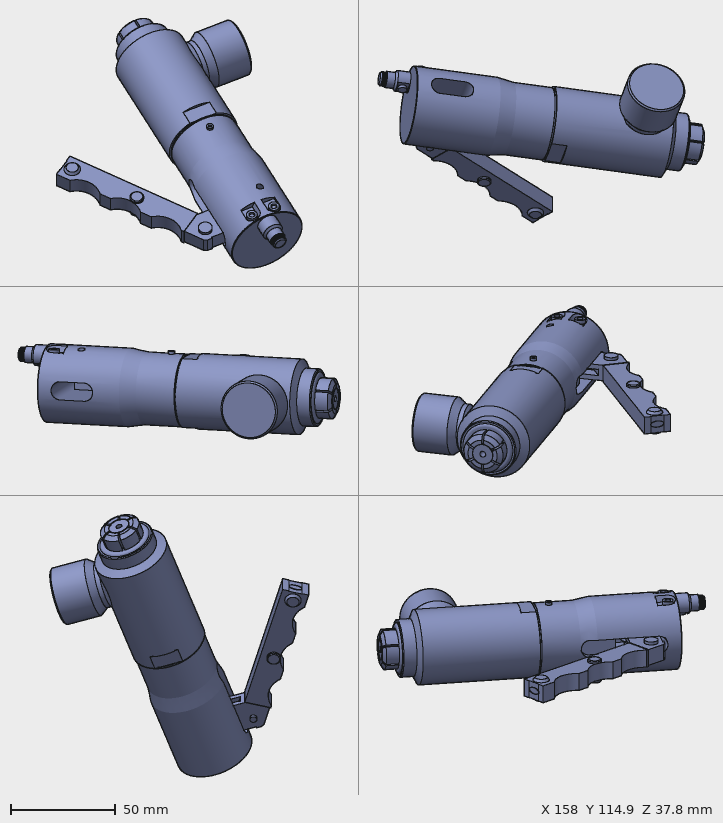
import cadquery as cq
import math


collet_radius = 9.8
collet_face_radius = 7.3
collet_bevel = 1.5
collet_core_radius = 5.0
collet_slot_width = 1.0
collet_slot_count = 6
collet_bore_diameter = 2.8
collet_bore_depth = 7.9
collet_core_recess = 0.3
collar_start = 7.7
collar_radius = 12.5
collar_face_radius = 10.7
collar_round = 1.7
flange_start = 8.7
flange_radius = 13.9
flange_chamfer = 0.5

barrel_chamfer_start = 15.5
barrel_start = 17.7
barrel_end = 74.9
barrel_radius = 18.2
neck_radius = 17.2
grip_start = 75.7
grip_end = 94.6
grip_radius = 17.5
sleeve_start = 102.7
sleeve_end = 143.6
sleeve_radius = 18.88
sleeve_chamfer = 0.3

flat_start = 67.5
flat_height = 16.7

port_x = 31.3
port_radius = 14.0
port_end = 41.0
port_chamfer = 0.8
port_cone_start = 23.2
port_neck_start = 19.5
port_neck_radius = 11.2
port_neck_end = 17.0
port_root_radius = 9.25
port_root_end = 15.6

set_screw_x = 82.2
set_screw_diameter = 3.2
set_screw_bore_diameter = 1.45
set_screw_top = 18.8
set_screw_bore_depth = 1.3
sleeve_hole_x = 125.6
sleeve_hole_y = 5.0
sleeve_hole_diameter = 3.3
sleeve_hole_depth = 4.7

pocket_start = 133.5
pocket_floor = 15.8
pocket_floor_width = 5.8
pocket_taper = 20.0
pocket_cut_height = 4.0
screw_x = 139.0
screw_y = 5.8
screw_head_diameter = 5.2
screw_head_top = 17.7
screw_socket_diameter = 2.8
screw_socket_depth = 1.3

fitting_z = 13.3
fitting_radius = 5.0
fitting_chamfer_start = 149.8
fitting_step = 150.9
fitting_neck_radius = 4.0
fitting_neck_end = 154.8
fitting_tip_radius = 3.5
fitting_tip_chamfer = 0.8
fitting_tip_end = 158.0
tip_groove_count = 3
tip_groove_start = 155.2
tip_groove_pitch = 0.8
tip_groove_width = 0.3
tip_groove_radius = 3.0
fitting_flat_start = 143.8
fitting_flat_end = 149.5
fitting_flat_z = 9.8
plug_x = 146.6
plug_diameter = 4.3

slot_width = 8.8
slot_end = 136.7
front_recess_start = 94.8
front_recess_y = -13.9
pocket_wall_x = 112.2
through_slot_start = 116.0

pivot_x = 127.4
pivot_y = -25.0
lever_angle = 33.6
arm_start = 8.0
arm_end = 78.5
arm_width = 13.0
arm_thickness = 8.7
finger_count = 3
finger_pitch = 22.5
finger_chord = 16.6
finger_depth = 3.5
finger_start = arm_start + 1.5
button_top = 5.7
middle_button_position = 37.8
middle_button_diameter = 6.6
middle_button_chamfer = 0.5
end_button_position = 73.5
end_button_base_diameter = 7.9
end_button_top_diameter = 5.8
end_recess_length = 6.5
end_recess_height = 3.2
end_recess_depth = 0.5
end_channel_depth = 0.24

tab_thickness = 8.0
tab_inset = 0.5
tab_left = 117.4
tab_right = 133.0
tab_top = -7.9
heel_right = 133.7
heel_top = -24.3
heel_chamfer = 1.0
groove_width = 3.2
groove_bottom_y = -21.8
groove_depth = 6.3

pin_head_diameter = 6.6
pin_diameter = 3.3
pin_top = 5.5
pin_bottom = -5.5


def upright_cylinder(x, y, bottom, top, diameter):
    """Cylinder along Z between two heights."""
    base = cq.Workplane("XY", origin=(x, y, bottom))
    return base.circle(diameter / 2).extrude(top - bottom)


def block(x_range, y_range, z_range):
    """Box between the given limits."""
    size = [high - low for low, high in (x_range, y_range, z_range)]
    corner = (x_range[0], y_range[0], z_range[0])
    return cq.Workplane("XY").box(*size, centered=False).translate(corner)


def tool_profile():
    """Turned shape of the collet, flange, barrel, grip and sleeve."""
    profile = (
        cq.Workplane("XY")
        .moveTo(0, 0)
        .lineTo(0, collet_face_radius)
        .lineTo(collet_bevel, collet_radius)
        .lineTo(collar_start, collet_radius)
        .lineTo(collar_start, collar_face_radius)
        .radiusArc((flange_start, collar_radius), collar_round)
        .lineTo(flange_start, flange_radius - flange_chamfer)
        .lineTo(flange_start + flange_chamfer, flange_radius)
        .lineTo(barrel_chamfer_start, flange_radius)
        .lineTo(barrel_start, barrel_radius)
        .lineTo(barrel_end, barrel_radius)
        .lineTo(barrel_end, neck_radius)
        .lineTo(grip_start, neck_radius)
        .lineTo(grip_start, grip_radius)
        .lineTo(grip_end, grip_radius)
        .lineTo(sleeve_start, sleeve_radius)
        .lineTo(sleeve_end - sleeve_chamfer, sleeve_radius)
        .lineTo(sleeve_end, sleeve_radius - sleeve_chamfer)
        .lineTo(sleeve_end, 0)
        .close()
    )
    return profile.revolve(360, (0, 0, 0), (1, 0, 0))


def collet_cuts():
    """Radial slots around the collet, its recessed core face and its centre bore."""
    bore = cq.Workplane("YZ").circle(collet_bore_diameter / 2).extrude(collet_bore_depth)
    cuts = cq.Workplane("YZ").circle(collet_core_radius).extrude(collet_core_recess).union(bore)
    slot = block(
        (0, collar_start),
        (-collet_slot_width / 2, collet_slot_width / 2),
        (collet_core_radius, collet_radius),
    )
    for index in range(collet_slot_count):
        cuts = cuts.union(slot.rotate((0, 0, 0), (1, 0, 0), index * 360 / collet_slot_count))
    return cuts


def wrench_flats():
    """Material outside the two flats."""
    side = (-barrel_radius, barrel_radius)
    upper = block((flat_start, barrel_end), side, (flat_height, barrel_radius))
    return upper.union(upper.mirror("XY"))


def side_port():
    """Turned port that stands on the barrel."""
    profile = (
        cq.Workplane("XY", origin=(port_x, 0, 0))
        .moveTo(0, 0)
        .lineTo(port_root_radius, 0)
        .lineTo(port_root_radius, port_root_end)
        .lineTo(port_neck_radius, port_neck_end)
        .lineTo(port_neck_radius, port_neck_start)
        .lineTo(port_radius, port_cone_start)
        .lineTo(port_radius, port_end - port_chamfer)
        .lineTo(port_radius - port_chamfer, port_end)
        .lineTo(0, port_end)
        .close()
    )
    return profile.revolve(360, (0, 0, 0), (0, 1, 0))


def socketed_stud(x, y, bottom, top, diameter, socket_diameter, socket_depth):
    """Upright screw head with a round socket in its top."""
    stud = upright_cylinder(x, y, bottom, top, diameter)
    return stud.cut(upright_cylinder(x, y, top - socket_depth, top, socket_diameter))


def screw_pocket(y):
    """Tapered pocket, square in front and round behind."""
    length = 2 * (screw_x - pocket_start) + pocket_floor_width
    pocket = (
        cq.Workplane("XY", origin=(pocket_start, y, pocket_floor))
        .slot2D(length, pocket_floor_width)
        .extrude(pocket_cut_height, taper=-pocket_taper)
    )
    keep = block(
        (pocket_start, sleeve_end),
        (y - pocket_floor_width, y + pocket_floor_width),
        (pocket_floor, pocket_floor + pocket_cut_height),
    )
    return pocket.intersect(keep)


def air_fitting():
    """Stepped fitting with a ringed tip, and a flat and a plug underneath."""
    profile = (
        cq.Workplane("XY", origin=(0, 0, fitting_z))
        .moveTo(sleeve_end, 0)
        .lineTo(sleeve_end, fitting_radius)
        .lineTo(fitting_chamfer_start, fitting_radius)
        .lineTo(fitting_step, fitting_neck_radius)
        .lineTo(fitting_neck_end, fitting_neck_radius)
        .lineTo(fitting_neck_end, fitting_tip_radius)
        .lineTo(fitting_tip_end - fitting_tip_chamfer, fitting_tip_radius)
        .lineTo(fitting_tip_end, fitting_tip_radius - fitting_tip_chamfer)
        .lineTo(fitting_tip_end, 0)
        .close()
    )
    fitting = profile.revolve(360, (0, 0, 0), (1, 0, 0))
    fitting_bottom = fitting_z - fitting_radius
    below_flat = block(
        (fitting_flat_start, fitting_flat_end),
        (-fitting_radius, fitting_radius),
        (fitting_bottom, fitting_flat_z),
    )
    for index in range(tip_groove_count):
        groove_x = tip_groove_start + index * tip_groove_pitch
        groove = (
            cq.Workplane("YZ", origin=(groove_x, 0, fitting_z))
            .circle(fitting_radius)
            .circle(tip_groove_radius)
            .extrude(tip_groove_width)
        )
        fitting = fitting.cut(groove)
    plug = upright_cylinder(plug_x, 0, fitting_bottom, fitting_z, plug_diameter)
    return fitting.cut(below_flat).union(plug)


def round_slot(x_start, y_start, y_end):
    """Slot cutter along Y, round at both ends, that ends at the common slot end."""
    length = slot_end - x_start
    return (
        cq.Workplane("XZ", origin=(x_start + length / 2, y_end, 0))
        .slot2D(length, slot_width)
        .extrude(y_end - y_start)
    )


def lever_slot():
    """Shallow front recess, deeper pocket and through slot for the lever tab."""
    recess = round_slot(front_recess_start, -sleeve_radius, front_recess_y)
    through = round_slot(through_slot_start, -sleeve_radius, sleeve_radius)
    pocket = block(
        (pocket_wall_x, slot_end - slot_width / 2),
        (-sleeve_radius, 0),
        (-slot_width / 2, slot_width / 2),
    )
    return recess.union(through).union(pocket)


def make_housing():
    housing = tool_profile().cut(collet_cuts()).cut(wrench_flats())
    housing = housing.union(side_port()).union(air_fitting())
    housing = housing.union(
        socketed_stud(
            set_screw_x,
            0,
            neck_radius,
            set_screw_top,
            set_screw_diameter,
            set_screw_bore_diameter,
            set_screw_bore_depth,
        )
    )
    hole_bottom = sleeve_radius - sleeve_hole_depth
    housing = housing.cut(
        upright_cylinder(sleeve_hole_x, sleeve_hole_y, hole_bottom, sleeve_radius, sleeve_hole_diameter)
    )
    for y in (-screw_y, screw_y):
        screw = socketed_stud(
            screw_x,
            y,
            pocket_floor,
            screw_head_top,
            screw_head_diameter,
            screw_socket_diameter,
            screw_socket_depth,
        )
        housing = housing.cut(screw_pocket(y)).union(screw)
    return housing.cut(lever_slot())


along = (-math.cos(math.radians(lever_angle)), -math.sin(math.radians(lever_angle)))
across = (-along[1], along[0])


def lever_plane(z=0):
    """Plane at the pivot with its first axis along the arm."""
    return cq.Workplane(cq.Plane((pivot_x, pivot_y, z), (*along, 0), (0, 0, 1)))


def lever_point(distance, offset):
    """World X and Y of a point given along and across the arm."""
    x = pivot_x + distance * along[0] + offset * across[0]
    y = pivot_y + distance * along[1] + offset * across[1]
    return x, y


def lever_arm():
    """Straight arm with finger scallops along its outer edge."""
    half_width = arm_width / 2
    outline = lever_plane(-arm_thickness / 2).moveTo(arm_start, -half_width).lineTo(arm_start, half_width)
    for index in range(finger_count):
        start = finger_start + index * finger_pitch
        middle = (start + finger_chord / 2, half_width - finger_depth)
        outline = outline.lineTo(start, half_width)
        outline = outline.threePointArc(middle, (start + finger_chord, half_width))
    outline = outline.lineTo(arm_end, half_width).lineTo(arm_end, -half_width).close()
    return outline.extrude(arm_thickness)


def lever_tab():
    """Hinge block whose upright tab enters the slot, grooved on its front face."""
    inner = lever_point(arm_start, -arm_width / 2)
    outer = lever_point(arm_start, arm_width / 2 - tab_inset)
    heel_rise = (heel_right - outer[0]) * math.tan(math.radians(lever_angle))
    heel_corner_y = outer[1] + heel_rise
    corner_back = (
        heel_right - heel_chamfer,
        heel_corner_y - heel_chamfer * math.tan(math.radians(lever_angle)),
    )
    tab = (
        cq.Workplane("XY", origin=(0, 0, -tab_thickness / 2))
        .polyline(
            [
                (tab_left, tab_top),
                (tab_left, inner[1]),
                inner,
                outer,
                corner_back,
                (heel_right, heel_corner_y + heel_chamfer),
                (heel_right, heel_top),
                (tab_right, heel_top),
                (tab_right, tab_top),
            ]
        )
        .close()
        .extrude(tab_thickness)
    )
    groove_rise = groove_depth * math.tan(math.radians(lever_angle))
    groove = (
        cq.Workplane("XY", origin=(0, 0, -groove_width / 2))
        .polyline(
            [
                (tab_left, groove_bottom_y),
                (tab_left + groove_depth, groove_bottom_y + groove_rise),
                (tab_left + groove_depth, tab_top),
                (tab_left, tab_top),
            ]
        )
        .close()
        .extrude(groove_width)
    )
    return tab.cut(groove)


def lever_buttons():
    """Chamfered middle button and conical end button, each showing on both faces."""
    head_height = button_top - arm_thickness / 2
    middle = (
        lever_plane(arm_thickness / 2)
        .center(middle_button_position, 0)
        .circle(middle_button_diameter / 2)
        .extrude(head_height)
        .faces(">Z")
        .chamfer(middle_button_chamfer)
    )
    cone = (
        lever_plane(arm_thickness / 2)
        .center(end_button_position, 0)
        .circle(end_button_base_diameter / 2)
        .workplane(offset=head_height)
        .circle(end_button_top_diameter / 2)
        .loft()
    )
    heads = middle.union(cone)
    return heads.union(heads.mirror("XY"))


def end_face_recess():
    """Shallow channel across the arm end with an oval recess at its centre."""
    end_plane = cq.Plane((*lever_point(arm_end, 0), 0), (*across, 0), (*along, 0))
    oval = (
        cq.Workplane(end_plane)
        .ellipse(end_recess_length / 2, end_recess_height / 2)
        .extrude(-end_recess_depth)
    )
    channel = cq.Workplane(end_plane).rect(end_recess_length, arm_thickness).extrude(-end_channel_depth)
    return oval.union(channel)


def make_lever():
    lever = lever_arm().union(lever_tab()).union(lever_buttons()).cut(end_face_recess())
    return lever.cut(upright_cylinder(pivot_x, pivot_y, pin_bottom, pin_top, pin_diameter))


def make_pivot_pin():
    shaft = upright_cylinder(pivot_x, pivot_y, pin_bottom, pin_top, pin_diameter)
    return shaft.union(upright_cylinder(pivot_x, pivot_y, tab_thickness / 2, pin_top, pin_head_diameter))


housing = make_housing()
lever = make_lever()
pivot_pin = make_pivot_pin()

result = cq.Compound.makeCompound([housing.solids().val(), lever.solids().val(), pivot_pin.solids().val()])